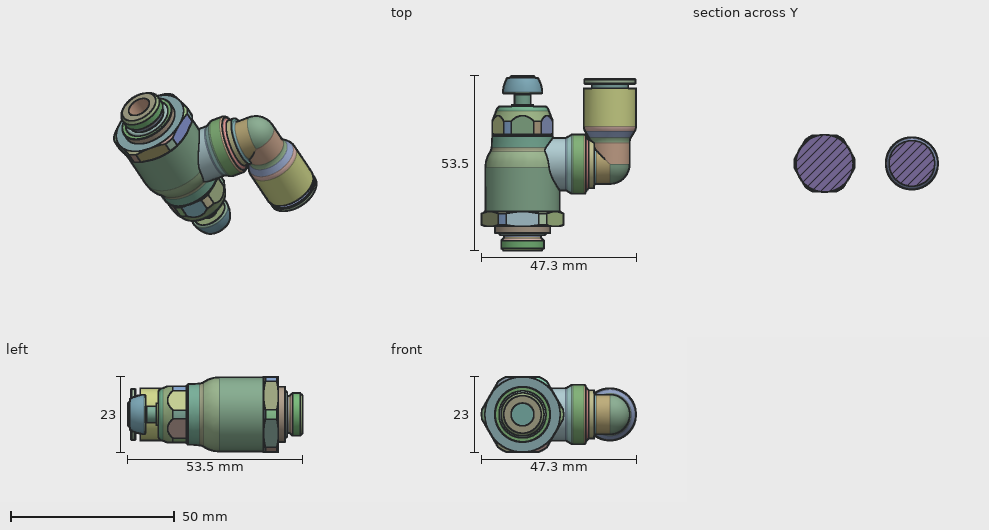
import cadquery as cq
import math


THREAD_R = 6.58
THREAD_LEAD_CHAMFER = 0.85
THREAD_Y = 3.15
NECK_R = 5.7
NECK_BLEND_R = 0.75
BORE_R = 3.5
BORE_DEPTH = 10.0

COLLAR_R = 8.5
COLLAR_CHAMFER = 0.15
COLLAR_Y = 5.38
SEAL_R = 7.2
SEAL_PROUD = 0.65

BASE_HEX_FLATS = 23.0
BASE_HEX_CORNER_R = 12.55
BASE_HEX_CHAMFER_R = 11.5
BASE_HEX_Y = 7.48
BASE_HEX_TOP_Y = 12.15
BASE_HEX_LOWER_CHAMFER = 0.5
BASE_HEX_UPPER_CHAMFER = 0.6
BASE_HEX_LAND = 0.15

BODY_R = 11.4
SHOULDER_Y = 25.56
SHOULDER_END_R = 9.85
SHOULDER_END_Y = 30.4
SHOULDER_ARC_R = 8.3
UPPER_BODY_BASE_R = 9.5
UPPER_BODY_Y = 31.65
UPPER_BODY_FILLET_R = 2.4
UPPER_BODY_TOP_R = 9.3
BODY_TOP_Y = 35.4
BODY_TOP_CHAMFER = 0.3

NUT_R = 9.31
NUT_FLATS = 17.3
NUT_GAP = 0.3
NUT_GAP_R = 8.8
NUT_Y = BODY_TOP_Y + NUT_GAP
NUT_CONE_Y = 39.7
NUT_CROWN_R = 8.08
NUT_CROWN_Y = 42.8
NUT_TOP_R = 7.05
NUT_TOP_Y = 44.15
NUT_CROWN_ARC_R = 1.8

STEM_COLLAR_R = 3.35
STEM_COLLAR_HEIGHT = 0.6
STEM_R = 2.53
STEM_TOP_R = 2.35
STEM_CHAMFER_HEIGHT = 0.4
KNOB_Y = 48.1
KNOB_R = 6.07
KNOB_RIM_HEIGHT = 0.5
KNOB_RIM_CREST_R = 5.425
KNOB_RECESS_R = 5.1
KNOB_RECESS_DEPTH = 0.3
KNOB_CROWN_R = 4.72
KNOB_CROWN_Y = 52.9
KNOB_CROWN_ARC_R = 9.0
KNOB_CAP_R = 3.95
KNOB_CAP_TOP_R = 3.4
KNOB_TOP_Y = 53.5

BRANCH_Y = 26.52
BRANCH_R = 8.06
BRANCH_FILLET_START_X = 13.0
BRANCH_FLARE_START = (13.5, 8.17)
BRANCH_FLARE_END = (14.85, 8.98)
BRANCH_BLEND_R = 1.1
SWIVEL_R = 9.13
SWIVEL_X = 15.4
SWIVEL_ROUND_X = 18.75
SWIVEL_ROUND = 0.6
SWIVEL_STEP_R = 8.2
SWIVEL_STEP_X = 19.5
RETAINER_R = 7.43
RETAINER_X = 20.2
RETAINER_END_X = 21.9

ELBOW_X = 26.7
ELBOW_R = 6.08
ELBOW_ROOT_FILLET = 0.6
SOCKET_R = 8.03
SOCKET_FILLET_START_Y = 33.1
SOCKET_CONE_START = (6.5, 34.75)
SOCKET_CONE_END = (7.65, 36.65)
SOCKET_Y = 38.1
SOCKET_BLEND_R = 2.9
SOCKET_TOP_Y = 49.7
RELEASE_NECK_R = 5.62
RELEASE_RING_R = 7.85
RELEASE_RING_Y = 51.0
RELEASE_RING_TOP_Y = 52.65
RELEASE_RING_CHAMFER = 0.3


def revolve_about_y(profile):
    """Close an (r, y) profile on the Y axis and revolve it fully."""
    return profile.close().revolve(360, (0, 0, 0), (0, 1, 0))


def revolve_about_x(profile):
    """Close an (x, r) profile on the X axis and revolve it fully."""
    return profile.close().revolve(360, (0, 0, 0), (1, 0, 0))


def hex_prism(flats, y_start, y_end):
    """Hexagonal prism along Y with two flats square to Z."""
    corner_diameter = flats / math.cos(math.pi / 6)
    prism = cq.Workplane("XZ").polygon(6, corner_diameter).extrude(y_start - y_end)
    return prism.translate((0, y_start, 0))


def make_threaded_end():
    cone_foot_y = THREAD_Y + THREAD_R - NECK_R
    blend_length = NECK_BLEND_R * math.tan(math.pi / 8)
    blend_offset = blend_length * math.cos(math.pi / 4)
    seal_y = COLLAR_Y - SEAL_PROUD
    seal_mid_r = (NECK_R + SEAL_R) / 2
    return revolve_about_y(
        cq.Workplane("XY")
        .lineTo(THREAD_R - THREAD_LEAD_CHAMFER, 0)
        .lineTo(THREAD_R, THREAD_LEAD_CHAMFER)
        .lineTo(THREAD_R, THREAD_Y)
        .lineTo(NECK_R + blend_offset, cone_foot_y - blend_offset)
        .radiusArc((NECK_R, cone_foot_y + blend_length), NECK_BLEND_R)
        .lineTo(NECK_R, COLLAR_Y)
        .threePointArc((seal_mid_r, seal_y), (SEAL_R, COLLAR_Y))
        .lineTo(COLLAR_R - COLLAR_CHAMFER, COLLAR_Y)
        .lineTo(COLLAR_R, COLLAR_Y + COLLAR_CHAMFER)
        .lineTo(COLLAR_R, BASE_HEX_Y)
        .lineTo(0, BASE_HEX_Y)
    )


def make_base_hex():
    land_y = BASE_HEX_TOP_Y - BASE_HEX_LAND
    envelope = revolve_about_y(
        cq.Workplane("XY")
        .moveTo(0, BASE_HEX_Y)
        .lineTo(BASE_HEX_CHAMFER_R, BASE_HEX_Y)
        .lineTo(BASE_HEX_CORNER_R, BASE_HEX_Y + BASE_HEX_LOWER_CHAMFER)
        .lineTo(BASE_HEX_CORNER_R, land_y - BASE_HEX_UPPER_CHAMFER)
        .lineTo(BASE_HEX_CHAMFER_R, land_y)
        .lineTo(BASE_HEX_CHAMFER_R, BASE_HEX_TOP_Y)
        .lineTo(0, BASE_HEX_TOP_Y)
    )
    return envelope.intersect(hex_prism(BASE_HEX_FLATS, BASE_HEX_Y, BASE_HEX_TOP_Y))


def make_valve_body():
    return revolve_about_y(
        cq.Workplane("XY")
        .moveTo(0, BASE_HEX_TOP_Y)
        .lineTo(BODY_R, BASE_HEX_TOP_Y)
        .lineTo(BODY_R, SHOULDER_Y)
        .radiusArc((SHOULDER_END_R, SHOULDER_END_Y), -SHOULDER_ARC_R)
        .radiusArc((UPPER_BODY_BASE_R, UPPER_BODY_Y), UPPER_BODY_FILLET_R)
        .lineTo(UPPER_BODY_TOP_R, BODY_TOP_Y - BODY_TOP_CHAMFER)
        .lineTo(UPPER_BODY_TOP_R - BODY_TOP_CHAMFER, BODY_TOP_Y)
        .lineTo(NUT_GAP_R, BODY_TOP_Y)
        .lineTo(NUT_GAP_R, NUT_Y)
        .lineTo(0, NUT_Y)
    )


def make_lock_nut():
    envelope = revolve_about_y(
        cq.Workplane("XY")
        .moveTo(0, NUT_Y)
        .lineTo(NUT_R, NUT_Y)
        .lineTo(NUT_R, NUT_CONE_Y)
        .lineTo(NUT_CROWN_R, NUT_CROWN_Y)
        .radiusArc((NUT_TOP_R, NUT_TOP_Y), -NUT_CROWN_ARC_R)
        .lineTo(0, NUT_TOP_Y)
    )
    return envelope.intersect(hex_prism(NUT_FLATS, NUT_Y, NUT_TOP_Y))


def make_stem_and_knob():
    stem_collar_top_y = NUT_TOP_Y + STEM_COLLAR_HEIGHT
    recess_y = KNOB_Y + KNOB_RECESS_DEPTH
    return revolve_about_y(
        cq.Workplane("XY")
        .moveTo(0, NUT_TOP_Y)
        .lineTo(STEM_COLLAR_R, NUT_TOP_Y)
        .lineTo(STEM_COLLAR_R, stem_collar_top_y)
        .lineTo(STEM_R, stem_collar_top_y)
        .lineTo(STEM_R, KNOB_Y - STEM_CHAMFER_HEIGHT)
        .lineTo(STEM_TOP_R, KNOB_Y)
        .lineTo(STEM_TOP_R, recess_y)
        .lineTo(KNOB_RECESS_R, recess_y)
        .threePointArc((KNOB_RIM_CREST_R, KNOB_Y), (KNOB_R, KNOB_Y + KNOB_RIM_HEIGHT))
        .radiusArc((KNOB_CROWN_R, KNOB_CROWN_Y), -KNOB_CROWN_ARC_R)
        .lineTo(KNOB_CAP_R, KNOB_CROWN_Y)
        .lineTo(KNOB_CAP_TOP_R, KNOB_TOP_Y)
        .lineTo(0, KNOB_TOP_Y)
    )


def make_branch():
    elbow_root_r = ELBOW_R + ELBOW_ROOT_FILLET
    branch = revolve_about_x(
        cq.Workplane("XY")
        .lineTo(0, BRANCH_R)
        .lineTo(BRANCH_FILLET_START_X, BRANCH_R)
        .radiusArc(BRANCH_FLARE_START, -BRANCH_BLEND_R)
        .lineTo(*BRANCH_FLARE_END)
        .radiusArc((SWIVEL_X, SWIVEL_R), BRANCH_BLEND_R)
        .lineTo(SWIVEL_ROUND_X, SWIVEL_R)
        .radiusArc((SWIVEL_ROUND_X + SWIVEL_ROUND, SWIVEL_R - SWIVEL_ROUND), SWIVEL_ROUND)
        .lineTo(SWIVEL_STEP_X, SWIVEL_STEP_R)
        .lineTo(RETAINER_X, RETAINER_R)
        .lineTo(RETAINER_END_X, RETAINER_R)
        .lineTo(RETAINER_END_X, elbow_root_r)
        .radiusArc((RETAINER_END_X + ELBOW_ROOT_FILLET, ELBOW_R), -ELBOW_ROOT_FILLET)
        .lineTo(ELBOW_X, ELBOW_R)
        .lineTo(ELBOW_X, 0)
    )
    return branch.translate((0, BRANCH_Y, 0))


def make_elbow_and_socket():
    ring_edge_r = RELEASE_RING_R - RELEASE_RING_CHAMFER
    socket = revolve_about_y(
        cq.Workplane("XY")
        .moveTo(0, BRANCH_Y)
        .lineTo(ELBOW_R, BRANCH_Y)
        .lineTo(ELBOW_R, SOCKET_FILLET_START_Y)
        .radiusArc(SOCKET_CONE_START, SOCKET_BLEND_R)
        .lineTo(*SOCKET_CONE_END)
        .radiusArc((SOCKET_R, SOCKET_Y), -SOCKET_BLEND_R)
        .lineTo(SOCKET_R, SOCKET_TOP_Y)
        .lineTo(RELEASE_NECK_R, SOCKET_TOP_Y)
        .lineTo(RELEASE_NECK_R, RELEASE_RING_Y)
        .lineTo(ring_edge_r, RELEASE_RING_Y)
        .lineTo(RELEASE_RING_R, RELEASE_RING_Y + RELEASE_RING_CHAMFER)
        .lineTo(RELEASE_RING_R, RELEASE_RING_TOP_Y - RELEASE_RING_CHAMFER)
        .lineTo(ring_edge_r, RELEASE_RING_TOP_Y)
        .lineTo(0, RELEASE_RING_TOP_Y)
    )
    corner = (
        cq.Workplane("XY")
        .moveTo(0, BRANCH_Y - ELBOW_R)
        .threePointArc((ELBOW_R, BRANCH_Y), (0, BRANCH_Y + ELBOW_R))
    )
    return socket.union(revolve_about_y(corner)).translate((ELBOW_X, 0, 0))


def make_bore():
    return cq.Workplane("XZ").circle(BORE_R).extrude(-BORE_DEPTH)


result = (
    make_threaded_end()
    .union(make_base_hex())
    .union(make_valve_body())
    .union(make_lock_nut())
    .union(make_stem_and_knob())
    .union(make_branch())
    .union(make_elbow_and_socket())
    .cut(make_bore())
)